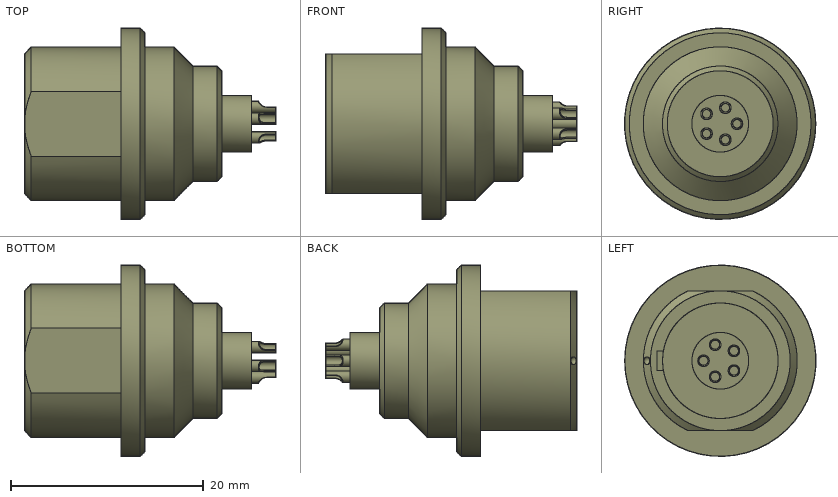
import cadquery as cq
import math

shell_chamfer_length = 0.68
flange_start = 10.0
flange_end = 12.5
rear_body_end = 15.5
taper_end = 17.5
collar_end = 20.5
insert_end = 23.6
overall_length = 26.1
edge_chamfer = 0.5

shell_radius = 16.0 / 2
shell_chamfer_height = 0.73
flat_distance = 7.25
flange_radius = 9.95
collar_radius = 6.0

socket_radius = 6.0
socket_depth = 14.35
keyway_length = flange_start
keyway_width = 1.98
keyway_reach = 6.58
dimple_radius = 0.8 / 2

insert_radius = 2.95
insert_face = 4.5

contact_count = 5
contact_circle_radius = 1.75
contact_radius = 0.6
contact_bore_radius = 0.47
contact_bore_depth = 3.13
countersink_depth = contact_radius - contact_bore_radius
cup_bore_radius = 0.45
cup_depth = 2.0
scoop_flat_length = 0.95
scoop_radius = 0.95


def rod(radius, start, end, y=0.0):
    """Cylinder along X, at height y above the axis."""
    return cq.Workplane("YZ", origin=(start, y, 0)).circle(radius).extrude(end - start)


def make_shell():
    """Turned outer shell with two flats on the mating barrel."""
    profile = [
        (0, 0),
        (0, shell_radius - shell_chamfer_height),
        (shell_chamfer_length, shell_radius),
        (flange_start, shell_radius),
        (flange_start, flange_radius),
        (flange_end - edge_chamfer, flange_radius),
        (flange_end, flange_radius - edge_chamfer),
        (flange_end, shell_radius),
        (rear_body_end, shell_radius),
        (taper_end, collar_radius),
        (collar_end - edge_chamfer, collar_radius),
        (collar_end, collar_radius - edge_chamfer),
        (collar_end, 0),
    ]
    body = cq.Workplane("XY").polyline(profile).close().revolve(360, (0, 0, 0), (1, 0, 0))
    for side in (1, -1):
        beyond_flat = cq.Workplane("XY").box(
            flange_start, 2 * shell_radius, shell_radius, centered=(False, True, True)
        )
        body = body.cut(beyond_flat.translate((0, 0, side * (flat_distance + shell_radius / 2))))
    return body


def make_socket():
    """Round socket with a square keyway on the +Y side."""
    keyway = cq.Workplane("XY").box(
        keyway_length, keyway_reach, keyway_width, centered=(False, False, True)
    )
    return rod(socket_radius, 0, socket_depth).union(keyway)


def make_dimple():
    """Ball that marks the keyway side, centred on the shell chamfer."""
    centre = (shell_chamfer_length / 2, shell_radius - shell_chamfer_height / 2, 0)
    return cq.Workplane("XY").sphere(dimple_radius).translate(centre)


def make_contact_hole():
    """Blind contact bore with a countersunk mouth in the insert face."""
    bore_end = insert_face + contact_bore_depth
    profile = [
        (insert_face, 0),
        (insert_face, contact_radius),
        (insert_face + countersink_depth, contact_bore_radius),
        (bore_end, contact_bore_radius),
        (bore_end, 0),
    ]
    hole = cq.Workplane("XY").polyline(profile).close().revolve(360, (0, 0, 0), (1, 0, 0))
    return hole.translate((0, contact_circle_radius, 0))


def make_solder_cup():
    """Contact tail, bored at its end and scooped open on its outward side."""
    y = contact_circle_radius
    flat_start = overall_length - scoop_flat_length
    arc_angle = math.acos(1 - contact_radius / scoop_radius)
    arc_end = (flat_start - scoop_radius * math.sin(arc_angle), y + contact_radius)
    arc_middle = (
        flat_start - scoop_radius * math.sin(arc_angle / 2),
        y + scoop_radius * (1 - math.cos(arc_angle / 2)),
    )
    scoop = (
        cq.Workplane("XY")
        .moveTo(overall_length, y)
        .lineTo(flat_start, y)
        .threePointArc(arc_middle, arc_end)
        .lineTo(overall_length, y + contact_radius)
        .close()
        .extrude(contact_radius, both=True)
    )
    tail = rod(contact_radius, insert_end, overall_length, y)
    cup = rod(cup_bore_radius, overall_length - cup_depth, overall_length, y)
    return tail.cut(cup).cut(scoop)


result = make_shell().cut(make_socket()).cut(make_dimple())
result = result.union(rod(insert_radius, insert_face, insert_end))

contact_hole = make_contact_hole()
solder_cup = make_solder_cup()
for index in range(contact_count):
    angle = 360 / contact_count * index
    result = result.cut(contact_hole.rotate((0, 0, 0), (1, 0, 0), angle))
    result = result.union(solder_cup.rotate((0, 0, 0), (1, 0, 0), angle))